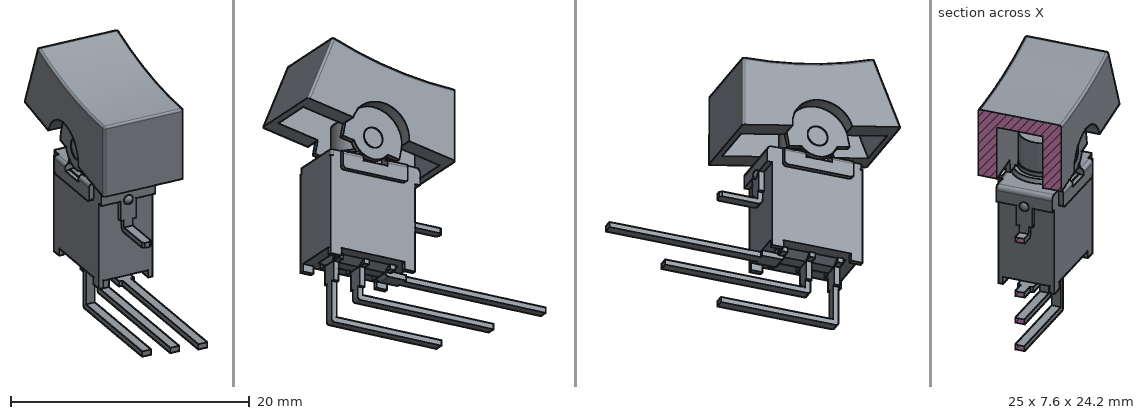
import cadquery as cq


body_half_length = 4.08
body_half_width = 2.55
body_height = 9.45
foot_height = 0.68
foot_width = 0.43
foot_gap_half_length = 3.05
corner_relief_radius = 0.23
corner_relief_height = 0.53

frame_thickness = 0.48
frame_bend_radius = 0.43
frame_leg_depth = 1.5
button_radius = 0.43
button_height = 0.2
button_drop = 1.48
strap_half_length = 3.13
strap_depth = 1.65
strap_half_width = 2.98
strap_corner_radius = 0.3
strap_bend_radius = 0.33
notch_half_length = 1.18
strap_notch_depth = 0.6
pocket_depth = 0.53
pocket_floor_y = 2.0

flange_radius = 2.93
flange_top_radius = 2.75
flange_height = 0.38
collar_radius = 2.35
collar_top = 0.75
bushing_radius = 2.28
bushing_top = 3.5

pivot_height = 1.85
tilt = 11.0
cap_width = 7.6
cap_offset = 0.05
cap_bottom_length = 14.62
cap_top_length = 12.12
cap_bottom = 0.35
cap_height = 6.4
cap_top_sag = 0.53
cap_edge_radius = 0.2
cavity_half_width = 2.08
cavity_wall = 0.58
cavity_height = 4.75
ear_half_length = 2.78
ear_bottom = -0.95
lobe_radius = 1.93
pin_diameter = 1.8
pin_height = 0.05

lead_thickness = 0.5
lead_pitch = 2.53
lead_half_width = 0.43
shoulder_half_width = 0.73
shoulder_end_z = -10.95
shoulder_end_x = 4.25
lead_foot_half_width = 1.5
lead_foot_height = 0.45
first_row_z = -9.31
short_lead_end = 7.86
lead_end_step = 2 * lead_pitch
lead_bend_radius = 0.25
frame_lead_end = 7.96
frame_lead_tip_chamfer = 0.2
frame_lead_bottom = -4.45
frame_shoulder_bottom = -3.33

bead_half_width = 1.38
bead_bottom_half_length = 2.78
bead_bottom_half_width = 0.58
bead_depth = 0.45

underside_z = foot_height - body_height


def box(x_range, y_range, z_range):
    """Axis-aligned block between pairs of limits."""
    size = [high - low for low, high in (x_range, y_range, z_range)]
    start = (x_range[0], y_range[0], z_range[0])
    return cq.Workplane("XY").box(*size, centered=False).translate(start)


def both_ways(half):
    return (-half, half)


def disc(radius, bottom, top):
    return cq.Workplane("XY").workplane(offset=bottom).circle(radius).extrude(top - bottom)


def cut_both_sides(shape, half_length, y_range, z_range):
    """Cut a centred slot into the -Y and +Y sides of a shape."""
    near, far = y_range
    for side_range in ((-far, -near), (near, far)):
        shape = shape.cut(box(both_ways(half_length), side_range, z_range))
    return shape


def make_housing():
    body = box(both_ways(body_half_length), both_ways(body_half_width), (-body_height, 0))
    gap_half_width = body_half_width - foot_width
    lower = (-body_height, underside_z)
    body = body.cut(box(both_ways(body_half_length), both_ways(gap_half_width), lower))
    body = body.cut(box(both_ways(foot_gap_half_length), both_ways(body_half_width), lower))
    frame = (
        box((0, body_half_length + frame_thickness), both_ways(body_half_width), (-frame_leg_depth, 0))
        .edges("|Y and >X and >Z")
        .fillet(frame_bend_radius)
    )
    return body.union(frame)


def make_corner_reliefs():
    """Material removed to round the top of the two corners at the -X end."""
    radius = corner_relief_radius
    reliefs = cq.Workplane("XY")
    for side in (-1, 1):
        x_range = (-body_half_length, radius - body_half_length)
        y_range = sorted((side * body_half_width, side * (body_half_width - radius)))
        z_range = (-corner_relief_height, 0)
        post = disc(radius, *z_range).translate((x_range[1], side * (body_half_width - radius), 0))
        reliefs = reliefs.add(box(x_range, y_range, z_range).cut(post))
    return reliefs.combine()


def make_strap():
    strap = (
        box(both_ways(strap_half_length), both_ways(strap_half_width), (-strap_depth, 0))
        .edges("|Y and <Z")
        .fillet(strap_corner_radius)
    )
    strap = strap.edges("|X and >Z").fillet(strap_bend_radius)
    return cut_both_sides(
        strap, notch_half_length, (body_half_width, strap_half_width), (-strap_notch_depth, 0)
    )


def make_button():
    """Domed button on the +X face of the frame."""
    base_x = body_half_length + frame_thickness
    sphere_radius = (button_radius**2 + button_height**2) / (2 * button_height)
    return (
        cq.Workplane("XZ", origin=(base_x, 0, -button_drop))
        .lineTo(button_height, 0)
        .radiusArc((0, button_radius), -sphere_radius)
        .close()
        .revolve(360, (0, 0), (1, 0))
    )


def make_bushing():
    flange = (
        cq.Workplane("XY").circle(flange_radius)
        .workplane(offset=flange_height).circle(flange_top_radius).loft()
        .intersect(box(both_ways(flange_radius), both_ways(body_half_width), (0, flange_height)))
    )
    bushing = (
        flange.union(disc(collar_radius, 0, collar_top)).union(disc(bushing_radius, 0, bushing_top))
    )
    return cut_both_sides(
        bushing, notch_half_length, (pocket_floor_y, body_half_width), (0, collar_top)
    )


def make_cap():
    half_bottom = cap_bottom_length / 2
    half_top = cap_top_length / 2
    top = cap_bottom + cap_height
    cap = (
        cq.Workplane("XZ")
        .moveTo(-half_bottom, cap_bottom)
        .lineTo(half_bottom, cap_bottom)
        .lineTo(half_top, top)
        .threePointArc((0, top - cap_top_sag), (-half_top, top))
        .close()
        .extrude(cap_width / 2, both=True)
        .edges("not <Z")
        .fillet(cap_edge_radius)
        .translate((cap_offset, 0, 0))
    )
    opening = cq.Workplane("XZ").circle(ear_half_length).extrude(cap_width / 2, both=True)
    core = box(both_ways(ear_half_length), both_ways(body_half_width), both_ways(ear_half_length))
    cap = cap.cut(opening.cut(core))

    ears = box(both_ways(ear_half_length), both_ways(body_half_width), (ear_bottom, ear_half_length))
    lobe = cq.Workplane("XZ").circle(lobe_radius).extrude(body_half_width, both=True)
    cap = cap.union(ears).union(lobe)

    side_lean = (cap_bottom_length - cap_top_length) / 2 / cap_height
    cavity_half_bottom = half_bottom - cavity_wall
    cavity_half_top = cavity_half_bottom - side_lean * cavity_height
    cavity_top = cap_bottom + cavity_height
    cavity = (
        cq.Workplane("XZ")
        .moveTo(-cavity_half_bottom, -lobe_radius)
        .lineTo(cavity_half_bottom, -lobe_radius)
        .lineTo(cavity_half_bottom, cap_bottom)
        .lineTo(cavity_half_top, cavity_top)
        .lineTo(-cavity_half_top, cavity_top)
        .lineTo(-cavity_half_bottom, cap_bottom)
        .close()
        .extrude(cavity_half_width, both=True)
        .translate((cap_offset, 0, 0))
    )
    cap = cap.cut(cavity)
    pin = cq.Workplane("XZ").circle(pin_diameter / 2).extrude(body_half_width + pin_height, both=True)
    return cap.union(pin).rotate((0, 0, 0), (0, 1, 0), tilt).translate((0, 0, pivot_height))


def bent_strip(left, bottom, end_x, top, half_width, bend_radius, thickness):
    """L-shaped strip that drops from top and turns towards +X."""
    return (
        cq.Workplane("XZ")
        .moveTo(left, top)
        .lineTo(left, bottom + bend_radius)
        .radiusArc((left + bend_radius, bottom), -bend_radius)
        .lineTo(end_x, bottom)
        .lineTo(end_x, bottom + thickness)
        .lineTo(left + thickness, bottom + thickness)
        .lineTo(left + thickness, top)
        .close()
        .extrude(half_width, both=True)
    )


def make_lead(row):
    """Terminal lead; row 0 is nearest the housing, with the longest tail."""
    left = (1 - row) * lead_pitch - lead_thickness / 2
    bottom = first_row_z - row * lead_pitch - lead_thickness / 2
    end_x = short_lead_end + (2 - row) * lead_end_step
    shape = (left, bottom, end_x, underside_z)
    lead = bent_strip(*shape, lead_half_width, lead_bend_radius, lead_thickness)
    wide = bent_strip(*shape, shoulder_half_width, lead_bend_radius, lead_thickness)
    shoulder_zone = box(
        (left, shoulder_end_x), both_ways(shoulder_half_width), (shoulder_end_z, underside_z)
    )
    foot = box(
        (left, left + lead_thickness),
        both_ways(lead_foot_half_width),
        (underside_z - lead_foot_height, underside_z),
    )
    return lead.union(wide.intersect(shoulder_zone)).union(foot)


def make_frame_lead():
    left = body_half_length
    lead = bent_strip(
        left, frame_lead_bottom, frame_lead_end, -frame_leg_depth,
        lead_half_width, frame_thickness, frame_thickness,
    )
    lead = lead.edges("|Z and >X").chamfer(frame_lead_tip_chamfer)
    shoulder = box(
        (left, left + frame_thickness),
        both_ways(shoulder_half_width),
        (frame_shoulder_bottom, -frame_leg_depth),
    )
    return lead.union(shoulder)


def make_bead():
    """Block that narrows downwards on all four sides."""
    return (
        cq.Workplane("XY", origin=(0, 0, underside_z))
        .rect(2 * foot_gap_half_length, 2 * bead_half_width)
        .workplane(offset=-bead_depth)
        .rect(2 * bead_bottom_half_length, 2 * bead_bottom_half_width)
        .loft()
    )


result = make_housing().cut(make_corner_reliefs()).union(make_strap())
result = cut_both_sides(
    result, notch_half_length, (pocket_floor_y, body_half_width), (-pocket_depth, 0)
)
for feature in (make_button(), make_bushing(), make_cap(), make_bead(), make_frame_lead()):
    result = result.union(feature)
for row in range(3):
    result = result.union(make_lead(row))